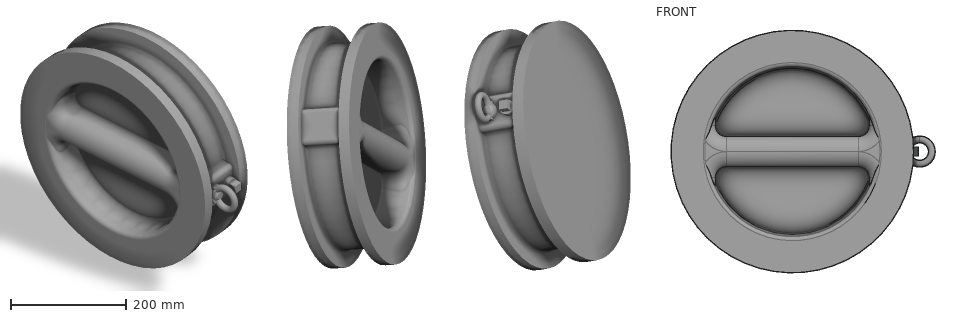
import cadquery as cq
import math

body_length = 114.0
flange_radius = 421.0 / 2
waist_radius = 180.0
front_rim_thickness = 19.4
rear_rim_thickness = 21.0
flange_draft = math.radians(5)
waist_fillet = 5.0

front_y = -body_length / 2
rear_y = body_length / 2

opening_radius = 154.5
opening_round = 7.0
bowl_depth = 55.5
bowl_draft = math.radians(5)
floor_fillet = 2.5
floor_y = front_y + bowl_depth

bar_half_width = 26.2
bar_recess = 0.5
bar_round = 26.0
flare_radius = 19.0
pad_start_x = 133.5
pad_end_x = 160.0
pad_half_height = 70.0

lug_face_x = 195.0
lug_half_height = 32.0
lug_round = 8.0
lug_fillet = 8.0

overlap = 1.0

plug_y = 22.0
plug_diameter = 26.44
plug_end_x = 204.5
plug_square = 16.0
plug_head_end_x = 218.5

eye_y = -15.0
eye_outer_diameter = 54.0
eye_inner_diameter = 30.0
eye_end_x = 248.0
collar_diameter = 30.0
collar_end_x = 204.5
neck_root_radius = 11.0
neck_tip_radius = 7.0
neck_end_x = 209.0
foot_width = 14.0
foot_half_height = 16.5
foot_end_x = 203.0


def make_body():
    """Revolve the flanges and waist, with drafted flange faces and filleted roots."""
    draft_depth = (flange_radius - waist_radius) * math.tan(flange_draft)
    front_rim_y = front_y + front_rim_thickness
    rear_rim_y = rear_y - rear_rim_thickness
    setback = waist_fillet * math.tan((math.pi / 2 - flange_draft) / 2)
    bisector = (math.pi / 2 + flange_draft) / 2
    sagitta = waist_fillet / math.sin(bisector) - waist_fillet

    def root(corner_y, into_waist):
        """Start, middle and end of a root fillet, from the flange to the waist."""
        on_flange = (
            waist_radius + setback * math.cos(flange_draft),
            corner_y - into_waist * setback * math.sin(flange_draft),
        )
        middle = (
            waist_radius + sagitta * math.cos(bisector - flange_draft),
            corner_y + into_waist * sagitta * math.sin(bisector - flange_draft),
        )
        on_waist = (waist_radius, corner_y + into_waist * setback)
        return on_flange, middle, on_waist

    front_root = root(front_rim_y + draft_depth, 1)
    rear_root = root(rear_rim_y - draft_depth, -1)
    return (
        cq.Workplane("XY")
        .moveTo(0, front_y)
        .lineTo(flange_radius, front_y)
        .lineTo(flange_radius, front_rim_y)
        .lineTo(*front_root[0])
        .threePointArc(front_root[1], front_root[2])
        .lineTo(*rear_root[2])
        .threePointArc(rear_root[1], rear_root[0])
        .lineTo(flange_radius, rear_rim_y)
        .lineTo(flange_radius, rear_y)
        .lineTo(0, rear_y)
        .close()
        .revolve(360, (0, 0), (0, 1))
    )


def make_bowl():
    """Revolved cutter with a rounded mouth and a drafted wall."""
    round_center = (opening_radius, front_y + opening_round)

    def on_round(angle):
        return (
            round_center[0] - opening_round * math.sin(angle),
            round_center[1] - opening_round * math.cos(angle),
        )

    sweep = math.pi / 2 - bowl_draft
    wall_top = on_round(sweep)
    floor_radius = wall_top[0] - (floor_y - wall_top[1]) * math.tan(bowl_draft)
    return (
        cq.Workplane("XY")
        .moveTo(0, front_y)
        .lineTo(opening_radius, front_y)
        .threePointArc(on_round(sweep / 2), wall_top)
        .lineTo(floor_radius, floor_y)
        .lineTo(0, floor_y)
        .close()
        .revolve(360, (0, 0), (0, 1))
    )


def make_bar():
    """Round-topped bar whose sides flare into a pad at each end of the bowl."""
    top_y = front_y + bar_recess
    height = floor_y - top_y
    base = cq.Workplane("XZ", origin=(0, floor_y, 0))
    block = base.rect(2 * pad_end_x, 2 * pad_half_height).extrude(height)
    window_height = 2 * pad_half_height
    for direction in (1, -1):
        window = (
            base.center(0, direction * (bar_half_width + window_height / 2))
            .rect(2 * pad_start_x, window_height)
            .extrude(height)
            .edges("|Y")
            .fillet(flare_radius)
        )
        block = block.cut(window)
    inner_edges = cq.selectors.BoxSelector(
        (-pad_start_x - overlap, top_y - overlap, -pad_half_height + overlap),
        (pad_start_x + overlap, top_y + overlap, pad_half_height - overlap),
    )
    return block.edges(inner_edges).fillet(bar_round)


def make_lugs():
    """Block through the body whose flat ends stand out of the waist and blend into it."""
    length = body_length - front_rim_thickness - rear_rim_thickness
    middle_y = (front_rim_thickness - rear_rim_thickness) / 2
    start_y = middle_y + length / 2
    block = (
        cq.Workplane("XZ", origin=(0, start_y, 0))
        .rect(2 * lug_face_x, 2 * lug_half_height)
        .extrude(length)
        .edges("|Y")
        .fillet(lug_round)
    )
    center_z = lug_half_height + lug_fillet
    center_x = math.sqrt((waist_radius + lug_fillet) ** 2 - center_z ** 2)
    shrink = waist_radius / (waist_radius + lug_fillet)
    waist_touch = (center_x * shrink, center_z * shrink)
    half_angle = (math.pi / 2 + math.atan2(center_z, center_x)) / 2
    middle = (
        center_x - lug_fillet * math.cos(half_angle),
        center_z - lug_fillet * math.sin(half_angle),
    )
    for x_sign in (1, -1):
        for z_sign in (1, -1):
            web = (
                cq.Workplane("XZ", origin=(0, start_y, 0))
                .moveTo(x_sign * center_x, z_sign * lug_half_height)
                .threePointArc(
                    (x_sign * middle[0], z_sign * middle[1]),
                    (x_sign * waist_touch[0], z_sign * waist_touch[1]),
                )
                .lineTo(x_sign * (waist_touch[0] - lug_fillet), z_sign * (lug_half_height - overlap))
                .lineTo(x_sign * center_x, z_sign * (lug_half_height - overlap))
                .close()
                .extrude(length)
            )
            block = block.union(web)
    return block


def make_plug():
    seat = cq.Workplane("YZ", origin=(waist_radius, plug_y, 0))
    thread = seat.circle(plug_diameter / 2).extrude(plug_end_x - waist_radius)
    head = seat.rect(plug_square, plug_square).extrude(plug_head_end_x - waist_radius)
    return thread.union(head)


def make_eye_bolt():
    wire_radius = (eye_outer_diameter - eye_inner_diameter) / 4
    ring_radius = (eye_outer_diameter + eye_inner_diameter) / 4
    ring_x = eye_end_x - eye_outer_diameter / 2
    ring = cq.Workplane(cq.Solid.makeTorus(
        ring_radius,
        wire_radius,
        cq.Vector(ring_x, eye_y, 0),
        cq.Vector(0, 1, 0),
    ))
    seat = cq.Workplane("YZ", origin=(waist_radius, eye_y, 0))
    collar = seat.circle(collar_diameter / 2).extrude(collar_end_x - waist_radius)
    neck = cq.Workplane(cq.Solid.makeCone(
        neck_root_radius,
        neck_tip_radius,
        neck_end_x - collar_end_x,
        cq.Vector(collar_end_x, eye_y, 0),
        cq.Vector(1, 0, 0),
    ))
    foot = seat.rect(foot_width, 2 * foot_half_height).extrude(foot_end_x - waist_radius)
    return collar.union(foot).union(neck).union(ring)


def round_bowl_floor(body):
    """Fillet the corner where the bowl wall and the bar meet the disc."""
    floor_edges = cq.selectors.BoxSelector(
        (-opening_radius, floor_y - overlap, -opening_radius),
        (opening_radius, floor_y + overlap, opening_radius),
        boundingbox=True,
    )
    return body.edges(floor_edges).fillet(floor_fillet)


body = make_body().union(make_lugs())
body = body.cut(make_bowl()).union(make_bar())
body = round_bowl_floor(body)
result = body.union(make_plug()).union(make_eye_bolt())